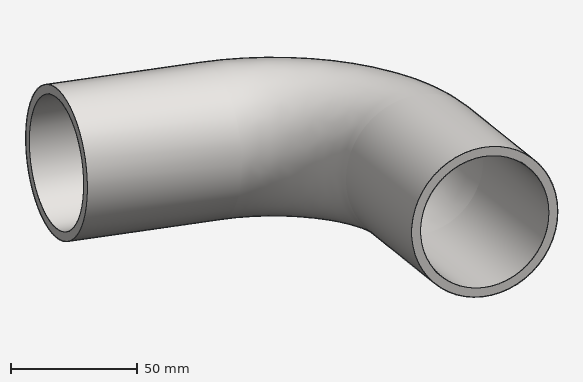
import cadquery as cq

overall_length = 161.0
outer_diameter = 63.0
wall_thickness = 3.9

outer_radius = outer_diameter / 2
inner_radius = outer_radius - wall_thickness
bend_radius = outer_diameter
leg_length = overall_length - bend_radius - outer_radius


def straight_leg(plane):
    """Pipe extruded along the plane's normal, from the end of the bend."""
    return cq.Workplane(plane).circle(outer_radius).circle(inner_radius).extrude(leg_length)


def elbow():
    """Quarter-turn bend about the vertical axis through the origin, from -X to +Y."""
    return (
        cq.Workplane("XZ")
        .center(-bend_radius, 0)
        .circle(outer_radius)
        .circle(inner_radius)
        .revolve(90, (bend_radius, 0, 0), (bend_radius, -1, 0))
    )


leg_y = straight_leg(cq.Plane(origin=(-bend_radius, 0, 0), xDir=(1, 0, 0), normal=(0, -1, 0)))
leg_x = straight_leg(cq.Plane(origin=(0, bend_radius, 0), xDir=(0, 1, 0), normal=(1, 0, 0)))

result = elbow().union(leg_y).union(leg_x)